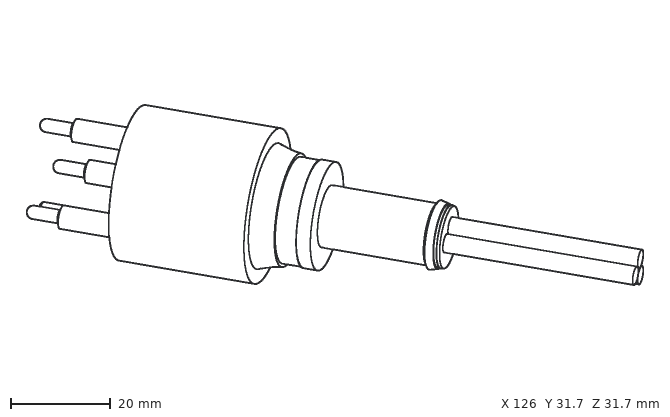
import cadquery as cq
import math


body_diameter = 31.7
body_face_x = 19.4
body_end_x = 47.9
flare_start_diameter = 25.7
flare_end_diameter = 23.2
flare_end_x = 52.9
flare_sag = 0.19
neck_diameter = 21.8
collar_diameter = 22.2
collar_start_x = 57.3
collar_end_x = 60.3
sleeve_diameter = 12.7

barb_start_x = 82.6
barb_peak_x = 83.1
barb_peak_diameter = 14.2
barb_end_diameter = sleeve_diameter
barb_end_x = 86.0
groove_start_x = 84.8
groove_end_x = 85.4

pin_circle_radius = 10.2
pin_diameter = 2.8
pin_end_x = 6.8
holder_diameter = 4.8
holder_start_x = 7.3
contact_angles = (90, 210, 330)

ground_pin_offset = 10.1
ground_pin_angle = 270
ground_pin_diameter = 3.1
ground_pin_tip_diameter = 2.3
ground_pin_chamfer = (ground_pin_diameter - ground_pin_tip_diameter) / 2

wire_diameter = 3.8
wire_circle_radius = 2.3
wire_angles = (60, 180, 300)
wire_end_x = 126.0


def turn(profile):
    """Revolve a closed (x, radius) profile about the X axis."""
    return profile.close().revolve(360, (0, 0, 0), (1, 0, 0))


def on_circle(shape, radius, angle):
    """Move a shape off the axis; the angle runs from +Y towards +Z."""
    turn_angle = math.radians(angle)
    return shape.translate((0, radius * math.cos(turn_angle), radius * math.sin(turn_angle)))


def make_body():
    flare_mid_x = (body_end_x + flare_end_x) / 2
    flare_mid_radius = (flare_start_diameter + flare_end_diameter) / 4 - flare_sag
    profile = (
        cq.Workplane("XY")
        .moveTo(body_face_x, 0)
        .lineTo(body_face_x, body_diameter / 2)
        .lineTo(body_end_x, body_diameter / 2)
        .lineTo(body_end_x, flare_start_diameter / 2)
        .threePointArc((flare_mid_x, flare_mid_radius), (flare_end_x, flare_end_diameter / 2))
        .lineTo(flare_end_x, neck_diameter / 2)
        .lineTo(collar_start_x, neck_diameter / 2)
        .lineTo(collar_start_x, collar_diameter / 2)
        .lineTo(collar_end_x, collar_diameter / 2)
        .lineTo(collar_end_x, 0)
    )
    return turn(profile)


def barb_radius(x):
    """Radius of the rim's taper at a place along X."""
    fraction = (x - barb_peak_x) / (barb_end_x - barb_peak_x)
    return (barb_peak_diameter + fraction * (barb_end_diameter - barb_peak_diameter)) / 2


def make_sleeve():
    sleeve_radius = sleeve_diameter / 2
    profile = (
        cq.Workplane("XY")
        .moveTo(collar_start_x, 0)
        .lineTo(collar_start_x, sleeve_radius)
        .lineTo(barb_start_x, sleeve_radius)
        .lineTo(barb_peak_x, barb_radius(barb_peak_x))
        .lineTo(groove_start_x, barb_radius(groove_start_x))
        .lineTo(groove_start_x, sleeve_radius)
        .lineTo(groove_end_x, sleeve_radius)
        .lineTo(groove_end_x, barb_radius(groove_end_x))
        .lineTo(barb_end_x, barb_radius(barb_end_x))
        .lineTo(barb_end_x, 0)
    )
    return turn(profile)


def make_contact_pin():
    """Pin with a hemispherical tip that widens through a short cone into its holder."""
    pin_radius = pin_diameter / 2
    dome_mid_angle = math.radians(45)
    dome_mid_x = pin_radius * (1 - math.cos(dome_mid_angle))
    dome_mid_radius = pin_radius * math.sin(dome_mid_angle)
    profile = (
        cq.Workplane("XY")
        .threePointArc((dome_mid_x, dome_mid_radius), (pin_radius, pin_radius))
        .lineTo(pin_end_x, pin_radius)
        .lineTo(holder_start_x, holder_diameter / 2)
        .lineTo(body_end_x, holder_diameter / 2)
        .lineTo(body_end_x, 0)
    )
    return turn(profile)


def make_ground_pin():
    return (
        cq.Workplane("YZ")
        .circle(ground_pin_diameter / 2)
        .extrude(body_end_x)
        .faces("<X")
        .chamfer(ground_pin_chamfer)
    )


def make_wire():
    return (
        cq.Workplane("YZ", origin=(collar_end_x, 0, 0))
        .circle(wire_diameter / 2)
        .extrude(wire_end_x - collar_end_x)
    )


result = make_body().union(make_sleeve())
for angle in contact_angles:
    result = result.union(on_circle(make_contact_pin(), pin_circle_radius, angle))
result = result.union(on_circle(make_ground_pin(), ground_pin_offset, ground_pin_angle))
for angle in wire_angles:
    result = result.union(on_circle(make_wire(), wire_circle_radius, angle))